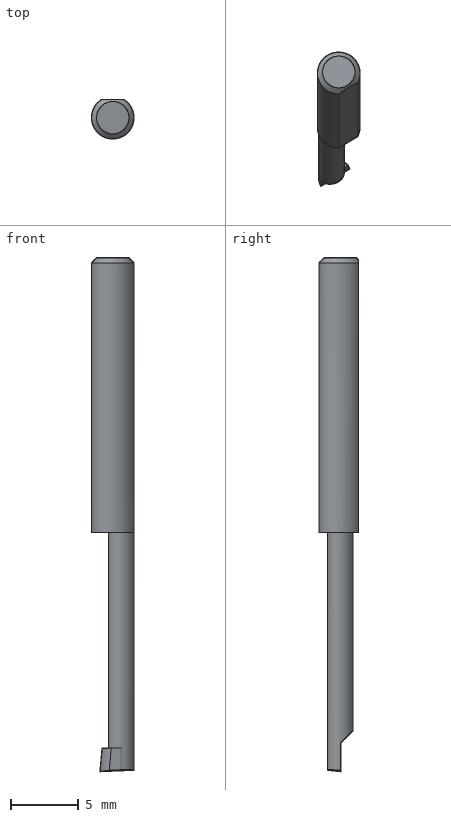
import cadquery as cq

total_length = 38.1
shank_diameter = 3.15
shank_depth = 2.95
shank_bottom = 17.7
top_chamfer = 0.4

neck_diameter = 1.9
shank_radius = shank_diameter / 2
neck_radius = neck_diameter / 2
neck_x = shank_radius - neck_radius

head_height = 1.75
rake_y = 0.05
tip_x = -0.95
heel_x = -0.55
heel_y = -0.72
front_edge_x = -0.25
side_taper = 0.15
end_relief_angle = 5.0
end_clearance_angle = 2.5
rake_flat_top = 2.15


def make_shank():
    shank = (
        cq.Workplane("XY", origin=(0, 0, shank_bottom))
        .circle(shank_radius)
        .extrude(total_length - shank_bottom)
        .faces(">Z")
        .chamfer(top_chamfer)
    )
    envelope = cq.Workplane("XY").box(
        shank_diameter, shank_depth, total_length, centered=(True, False, False)
    )
    return shank.intersect(envelope.translate((0, -shank_radius, 0)))


def make_neck():
    neck = cq.Workplane("XY").center(neck_x, 0).circle(neck_radius).extrude(shank_bottom)
    half_cut = (
        cq.Workplane("YZ")
        .polyline([
            (rake_y, 0),
            (neck_radius, 0),
            (neck_radius, rake_flat_top + neck_radius - rake_y),
            (rake_y, rake_flat_top),
        ])
        .close()
        .extrude(shank_diameter, both=True)
    )
    return neck.cut(half_cut)


def draw_head_outline(plane, lean):
    """Head section with a curved cutting side, shifted toward +X by lean."""
    return (
        plane.moveTo(tip_x + lean, rake_y)
        .threePointArc((heel_x + lean, heel_y), (front_edge_x + lean, -neck_radius))
        .lineTo(neck_x, -neck_radius)
        .lineTo(neck_x, rake_y)
        .close()
    )


def make_head():
    bottom = draw_head_outline(cq.Workplane("XY"), 0)
    both_ends = draw_head_outline(bottom.workplane(offset=head_height), side_taper)
    return both_ends.loft(ruled=True)


def make_end_relief():
    """Block whose tilted top face passes through the tip corner."""
    block = cq.Workplane("XY").box(
        4 * shank_diameter, 4 * shank_diameter, shank_diameter, centered=(True, True, False)
    )
    return (
        block.translate((0, 0, -shank_diameter))
        .rotate((0, 0, 0), (1, 0, 0), -end_relief_angle)
        .rotate((0, 0, 0), (0, 1, 0), -end_clearance_angle)
        .translate((tip_x, rake_y, 0))
    )


tip = make_neck().union(make_head()).cut(make_end_relief())
result = make_shank().union(tip)